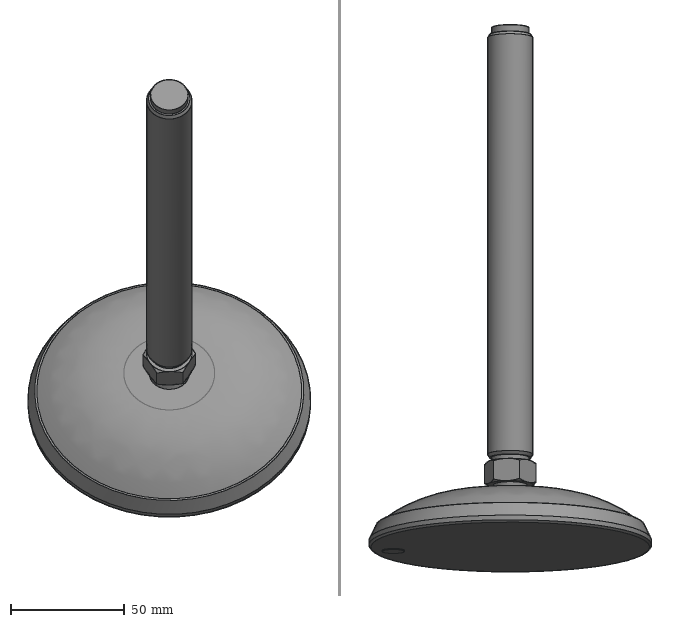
import cadquery as cq
import math


TOTAL_HEIGHT = 233.7
PAD_BOTTOM = 0.5
PAD_BAND_TOP = 3.5
PAD_TOP = 9.8
PLATE_TOP = 23.5
COLLAR_TOP = 26.5
HEX_BOTTOM = 28.5
HEX_TOP = 38.5
THREAD_BOTTOM = 40.7

PAD_DIAMETER = 125.0
PAD_LIP_WIDTH = 1.0
PAD_CHAMFER = 1.0

DISC_DIAMETER = 9.8
DISC_CENTRE_RADIUS = 52.3
DISC_ANGLE = 60.0

PLATE_DIAMETER = 117.0
PLATE_FLAT_DIAMETER = 40.2

THREAD_DIAMETER = 20.0
THREAD_CHAMFER_HEIGHT = 1.5
THREAD_END_DIAMETER = 18.2
TIP_DIAMETER = 16.5
TIP_HEIGHT = 3.0
HEX_FLATS = 20.0
HEX_CHAMFER_DIAMETER = 20.0
HEX_CHAMFER_ANGLE = 30.0
UPPER_NECK_DIAMETER = 16.5
COLLAR_DIAMETER = 17.8
LOWER_NECK_DIAMETER = 14.3
LOWER_NECK_TOP_DIAMETER = 14.7


def make_pad():
    """Rubber disc with a tapered shoulder up to a narrow lip around the plate."""
    outer = PAD_DIAMETER / 2
    lip_outer = PLATE_DIAMETER / 2 + PAD_LIP_WIDTH
    pad = (
        cq.Workplane("XZ")
        .polyline(
            [
                (0, PAD_BOTTOM),
                (outer - PAD_CHAMFER, PAD_BOTTOM),
                (outer, PAD_BOTTOM + PAD_CHAMFER),
                (outer, PAD_BAND_TOP),
                (lip_outer, PAD_TOP),
                (0, PAD_TOP),
            ]
        )
        .close()
        .revolve(360, (0, 0, 0), (0, 1, 0))
    )
    disc_turn = math.radians(DISC_ANGLE)
    disc = (
        cq.Workplane("XY")
        .center(DISC_CENTRE_RADIUS * math.cos(disc_turn), DISC_CENTRE_RADIUS * math.sin(disc_turn))
        .circle(DISC_DIAMETER / 2)
        .extrude(PAD_BAND_TOP)
    )
    return pad.union(disc)


def make_plate():
    """Domed plate lying on the pad, with a flat top for the spindle."""
    edge = PLATE_DIAMETER / 2
    flat = PLATE_FLAT_DIAMETER / 2
    run = edge - flat
    drop = PLATE_TOP - PAD_TOP
    dome_radius = (run**2 + drop**2) / (2 * drop)
    half_angle = math.asin(run / dome_radius) / 2
    dome_middle = (
        flat + dome_radius * math.sin(half_angle),
        PLATE_TOP - dome_radius * (1 - math.cos(half_angle)),
    )
    return (
        cq.Workplane("XZ")
        .moveTo(0, PAD_TOP)
        .lineTo(edge, PAD_TOP)
        .threePointArc(dome_middle, (flat, PLATE_TOP))
        .lineTo(0, PLATE_TOP)
        .close()
        .revolve(360, (0, 0, 0), (0, 1, 0))
    )


def make_hexagon():
    """Hexagon with corners along X and both ends chamfered by a cone."""
    corner = HEX_FLATS / math.sqrt(3)
    circle = HEX_CHAMFER_DIAMETER / 2
    drop = (corner - circle) * math.tan(math.radians(HEX_CHAMFER_ANGLE))
    prism = (
        cq.Workplane("XY")
        .workplane(offset=HEX_BOTTOM)
        .polygon(6, 2 * corner)
        .extrude(HEX_TOP - HEX_BOTTOM)
    )
    envelope = (
        cq.Workplane("XZ")
        .polyline(
            [
                (0, HEX_BOTTOM),
                (circle, HEX_BOTTOM),
                (corner, HEX_BOTTOM + drop),
                (corner, HEX_TOP - drop),
                (circle, HEX_TOP),
                (0, HEX_TOP),
            ]
        )
        .close()
        .revolve(360, (0, 0, 0), (0, 1, 0))
    )
    return prism.intersect(envelope)


def make_spindle():
    """Turned spindle with a flared collar on the plate, a hexagon, and a long plain shank."""
    thread_top = TOTAL_HEIGHT - TIP_HEIGHT
    turned = (
        cq.Workplane("XZ")
        .polyline(
            [
                (0, PLATE_TOP),
                (COLLAR_DIAMETER / 2, PLATE_TOP),
                (LOWER_NECK_DIAMETER / 2, COLLAR_TOP),
                (LOWER_NECK_TOP_DIAMETER / 2, HEX_BOTTOM),
                (UPPER_NECK_DIAMETER / 2, HEX_TOP),
                (UPPER_NECK_DIAMETER / 2, THREAD_BOTTOM),
                (THREAD_END_DIAMETER / 2, THREAD_BOTTOM),
                (THREAD_DIAMETER / 2, THREAD_BOTTOM + THREAD_CHAMFER_HEIGHT),
                (THREAD_DIAMETER / 2, thread_top - THREAD_CHAMFER_HEIGHT),
                (THREAD_END_DIAMETER / 2, thread_top),
                (TIP_DIAMETER / 2, thread_top),
                (TIP_DIAMETER / 2, TOTAL_HEIGHT),
                (0, TOTAL_HEIGHT),
            ]
        )
        .close()
        .revolve(360, (0, 0, 0), (0, 1, 0))
    )
    return turned.union(make_hexagon())


pad = make_pad()
plate = make_plate()
spindle = make_spindle()

result = cq.Compound.makeCompound([pad.val(), plate.val(), spindle.val()])